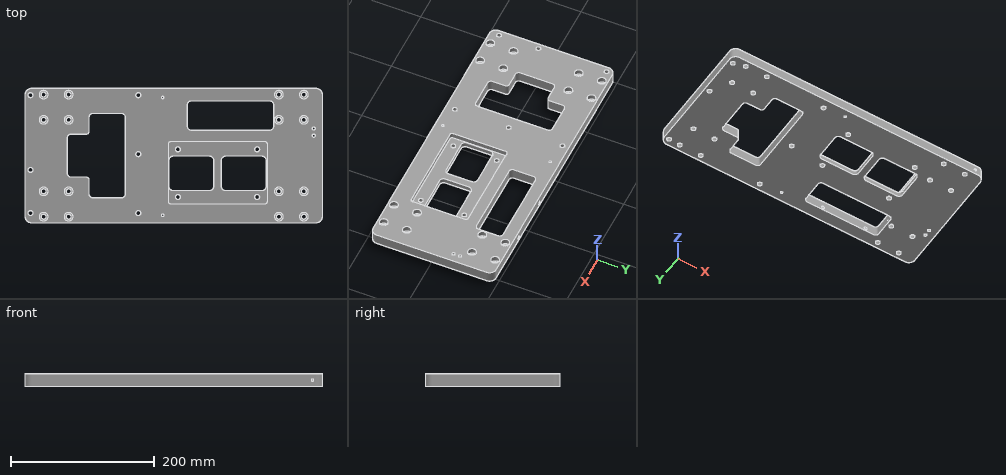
import cadquery as cq

plate_length = 415.0
plate_width = 188.0
plate_thickness = 18.0
plate_corner_radius = 10.0

screw_outer_x = 181.5
screw_inner_x = 146.5
screw_outer_y = 85.0
screw_inner_y = 50.0
screw_hole_diameter = 6.5
counterbore_diameter = 12.0
counterbore_depth = 9.0

mount_hole_diameter = 6.5
mount_left_x = -199.5
mount_middle_x = -49.5
mount_top_y = 84.2
mount_bottom_y = -80.0
mount_center_y = (mount_top_y + mount_bottom_y) / 2
mount_left_lower_y = -20.0

pin_hole_diameter = 3.5
pin_x = -15.5
pin_top_y = 81.0
pin_bottom_y = -83.0

pair_hole_diameter = 4.0
pair_x = 195.0
pair_upper_y = 37.8
pair_pitch = 10.0

t_stem_left = -148.0
t_bar_left = -118.0
t_bar_right = -67.5
t_stem_width = 59.5
t_bar_width = 117.0
t_inner_radius = 4.0
window_corner_radius = 5.0

back_window_left = 19.0
back_window_right = 139.0
back_window_bottom = 35.5
back_window_top = 76.0

pocket_left = -7.5
pocket_right = 130.5
pocket_bottom = -67.2
pocket_top = 19.5
pocket_depth = 9.0
pocket_corner_radius = 3.0
floor_center_x = 61.0

floor_window_length = 62.2
floor_window_gap = 10.8
floor_window_bottom = -48.5
floor_window_top = -1.0
floor_window_radius = 6.0

floor_hole_diameter = 6.5
floor_hole_pitch_x = 110.5
floor_hole_pitch_y = 66.5
floor_hole_center_y = -24.5

back_cross_hole_diameter = 4.5
back_cross_hole_x = (50.2, 120.8)
back_cross_hole_z = 5.5
front_cross_hole_diameter = 3.5
front_cross_hole_x = 193.5
front_cross_hole_z = plate_thickness / 2
front_cross_hole_depth = 20.0


def rectangle_block(left, right, bottom, top, floor_z, corner_radius):
    """Rounded rectangular cutter reaching from floor_z to the top of the plate."""
    block = cq.Workplane("XY").workplane(offset=floor_z)
    block = block.center((left + right) / 2, (bottom + top) / 2)
    block = block.rect(right - left, top - bottom).extrude(plate_thickness - floor_z)
    return block.edges("|Z").fillet(corner_radius)


def round_holes(points, diameter, floor_z=0.0):
    """Vertical cylinders reaching from floor_z to the top of the plate."""
    start = cq.Workplane("XY").workplane(offset=floor_z)
    return start.pushPoints(points).circle(diameter / 2).extrude(plate_thickness - floor_z)


def cross_hole(x, start_y, z, diameter, length):
    """Cylinder running from start_y toward +Y."""
    return cq.Solid.makeCylinder(diameter / 2, length, cq.Vector(x, start_y, z), cq.Vector(0, 1, 0))


def t_window():
    """T-shaped cutter, stem toward -X; its two inner corners have a smaller radius."""
    bar = rectangle_block(
        t_bar_left, t_bar_right, -t_bar_width / 2, t_bar_width / 2, 0.0, window_corner_radius
    )
    stem = rectangle_block(
        t_stem_left, t_bar_right, -t_stem_width / 2, t_stem_width / 2, 0.0, window_corner_radius
    )
    inner_corners = cq.selectors.BoxSelector(
        (t_bar_left - t_inner_radius, -t_stem_width, 0),
        (t_bar_left + t_inner_radius, t_stem_width, plate_thickness),
    )
    return bar.union(stem).edges("|Z").edges(inner_corners).fillet(t_inner_radius)


plate = cq.Workplane("XY").box(plate_length, plate_width, plate_thickness, centered=(True, True, False))
plate = plate.edges("|Z").fillet(plate_corner_radius)

plate = plate.cut(t_window())
plate = plate.cut(
    rectangle_block(
        back_window_left, back_window_right, back_window_bottom, back_window_top, 0.0, window_corner_radius
    )
)
plate = plate.cut(
    rectangle_block(
        pocket_left,
        pocket_right,
        pocket_bottom,
        pocket_top,
        plate_thickness - pocket_depth,
        pocket_corner_radius,
    )
)
for side in (-1, 1):
    window_center_x = floor_center_x + side * (floor_window_length + floor_window_gap) / 2
    window_left = window_center_x - floor_window_length / 2
    window_right = window_center_x + floor_window_length / 2
    plate = plate.cut(
        rectangle_block(
            window_left, window_right, floor_window_bottom, floor_window_top, 0.0, floor_window_radius
        )
    )

floor_hole_points = [
    (floor_center_x + i * floor_hole_pitch_x / 2, floor_hole_center_y + j * floor_hole_pitch_y / 2)
    for i in (-1, 1)
    for j in (-1, 1)
]
plate = plate.cut(round_holes(floor_hole_points, floor_hole_diameter))

screw_points = [
    (i * x, j * y)
    for i in (-1, 1)
    for j in (-1, 1)
    for x in (screw_inner_x, screw_outer_x)
    for y in (screw_inner_y, screw_outer_y)
]
plate = plate.cut(round_holes(screw_points, screw_hole_diameter))
plate = plate.cut(round_holes(screw_points, counterbore_diameter, plate_thickness - counterbore_depth))

mount_points = [
    (mount_left_x, mount_top_y),
    (mount_left_x, mount_left_lower_y),
    (mount_left_x, mount_bottom_y),
    (mount_middle_x, mount_top_y),
    (mount_middle_x, mount_center_y),
    (mount_middle_x, mount_bottom_y),
]
plate = plate.cut(round_holes(mount_points, mount_hole_diameter))
plate = plate.cut(round_holes([(pin_x, pin_top_y), (pin_x, pin_bottom_y)], pin_hole_diameter))
pair_points = [(pair_x, pair_upper_y), (pair_x, pair_upper_y - pair_pitch)]
plate = plate.cut(round_holes(pair_points, pair_hole_diameter))

back_wall_thickness = plate_width / 2 - back_window_top
for hole_x in back_cross_hole_x:
    plate = plate.cut(
        cross_hole(
            hole_x, back_window_top, back_cross_hole_z, back_cross_hole_diameter, back_wall_thickness
        )
    )

plate = plate.cut(
    cross_hole(
        front_cross_hole_x,
        -plate_width / 2,
        front_cross_hole_z,
        front_cross_hole_diameter,
        front_cross_hole_depth,
    )
)

result = plate